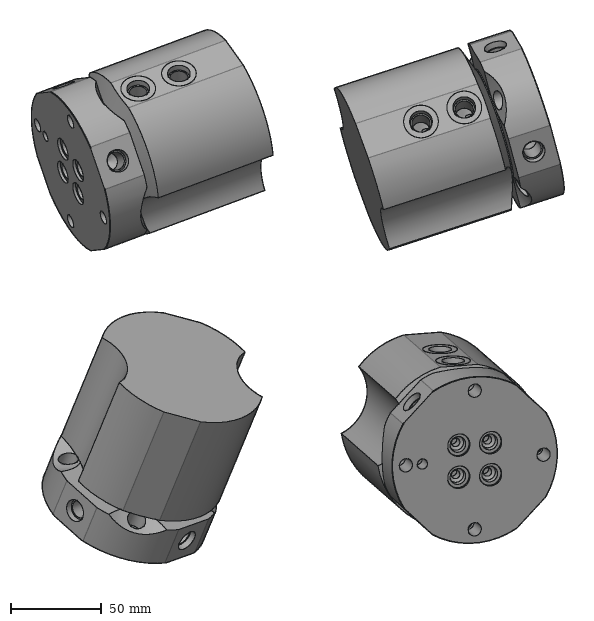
import cadquery as cq
import math

total_length = 101.8
flange_thickness = 24.5
neck_length = 0.7
shoulder_length = 5.3
flange_radius = 47.6
flange_flat_distance = 46.0
flange_edge_chamfer = 0.3
body_radius = 47.2
body_flat_distance = 46.0
neck_radius = 33.0
shoulder_start = flange_thickness + neck_length
body_start = shoulder_start + shoulder_length

groove_radius = 24.8
groove_axis_distance = 58.6
groove_tilt = -15.0

screw_circle_radius = 39.6
screw_hole_diameter = 7.5
counterbore_diameter = 10.5
counterbore_floor = 14.3

relief_radius = 37.2
relief_slope = math.degrees(math.atan2(shoulder_length, body_radius - neck_radius))

port_entry_diameter = 12.5
port_ledge_diameter = 11.7
port_entry_depth = 3.5
port_drill_diameter = 10.0
port_depth = 15.3
drill_point_angle = 118.0
flange_port_distance = 12.6
body_port_distances = (42.0, 67.3)
spotface_diameter = 19.1
spotface_depth = 0.1
branch_diameter = 1.8
branch_rise = 0.4
branch_length = 8.1

face_port_offset = 9.2
seal_recess_diameter = 12.7
seal_recess_depth = 1.7
face_port_mouth_diameter = 9.0
face_port_mouth_depth = 3.4
face_port_diameter = 8.3
face_port_depth = seal_recess_depth + face_port_mouth_depth
face_passage_diameter = 4.8
face_passage_depth = 12.2

pin_hole_diameter = 5.8
pin_hole_depth = 10.2
pin_hole_x = -30.1

Y_AXIS = cq.Vector(0, 1, 0)
ORIGIN = cq.Vector(0, 0, 0)


def around_axis(shape, angle):
    """Turn a shape about the Y axis; a positive angle leads from +X toward +Z."""
    return shape.rotate(ORIGIN, Y_AXIS, -angle)


def disc(radius, start, end, x=0.0, z=0.0):
    """Cylinder parallel to Y, between two Y positions."""
    return cq.Solid.makeCylinder(radius, end - start, cq.Vector(x, start, z), Y_AXIS)


def side_cut(distance, start, end):
    """Block that leaves a flat facing +X at the given distance from the axis."""
    width = 2 * flange_radius
    corner = cq.Vector(distance, start, -width / 2)
    return cq.Solid.makeBox(width, end - start, width, corner)


def drill_tip_length(diameter):
    return diameter / 2 / math.tan(math.radians(drill_point_angle / 2))


def drill(diameter, depth, start, direction):
    """Blind hole with a conical point; depth is that of the full diameter."""
    radius = diameter / 2
    tip_length = drill_tip_length(diameter)
    barrel = cq.Solid.makeCylinder(radius, depth, start, direction)
    tip = cq.Solid.makeCone(radius, 0, tip_length, start + direction * depth, direction)
    return barrel.fuse(tip)


def side_port(surface_distance, y):
    """Port with a tapered entry, drilled inward from a flat that faces +X."""
    start = cq.Vector(surface_distance, y, 0)
    inward = cq.Vector(-1, 0, 0)
    entry = cq.Solid.makeCone(
        port_entry_diameter / 2, port_ledge_diameter / 2, port_entry_depth, start, inward
    )
    return entry.fuse(drill(port_drill_diameter, port_depth, start, inward))


def spotface(surface_distance, y):
    """Shallow seal seat around a port on a flat that faces +X."""
    start = cq.Vector(surface_distance, y, 0)
    return cq.Solid.makeCylinder(spotface_diameter / 2, spotface_depth, start, cq.Vector(-1, 0, 0))


def branch(surface_distance, y):
    """Small passage toward -Y from the drill point of a side port facing +X."""
    port_bottom = surface_distance - port_depth - drill_tip_length(port_drill_diameter)
    radius = branch_diameter / 2
    return disc(radius, y - branch_length, y, x=port_bottom + branch_rise + radius)


def make_flange():
    flange = cq.Workplane(obj=disc(flange_radius, 0, flange_thickness))
    flange = flange.faces("<Y").chamfer(flange_edge_chamfer)
    for angle in (45, 135, 225, 315):
        flange = flange.cut(around_axis(side_cut(flange_flat_distance, 0, flange_thickness), angle))
        flange = flange.cut(around_axis(side_port(flange_flat_distance, flange_port_distance), angle))
    return flange


def screw_relief():
    """Slanted cylinder whose lowest line slopes from the neck to the rim on the +X side."""
    length = 2 * flange_radius
    slope = math.radians(relief_slope)
    along = cq.Vector(math.cos(slope), -math.sin(slope), 0)
    upward = cq.Vector(math.sin(slope), math.cos(slope), 0)
    start = cq.Vector(neck_radius, flange_thickness, 0) + upward * relief_radius
    relief = cq.Solid.makeCylinder(relief_radius, length, start - along * (length / 2), along)
    below_body = disc(2 * flange_radius, 0, flange_thickness)
    return relief.intersect(below_body)


def make_body():
    body = cq.Workplane(obj=disc(body_radius, body_start, total_length))
    shoulder = cq.Solid.makeCone(
        neck_radius, body_radius, shoulder_length, cq.Vector(0, shoulder_start, 0), Y_AXIS
    )
    body = body.union(cq.Workplane(obj=shoulder))
    for angle in (90, 270):
        body = body.cut(around_axis(side_cut(body_flat_distance, shoulder_start, total_length), angle))
    for angle in (groove_tilt, groove_tilt + 180):
        groove = disc(groove_radius, shoulder_start, total_length, x=groove_axis_distance)
        body = body.cut(around_axis(groove, angle))
    for y in body_port_distances:
        for make_tool in (spotface, side_port, branch):
            body = body.cut(around_axis(make_tool(body_flat_distance, y), 90))
    return body


def cut_screw_holes(flange):
    for angle in (0, 90, 180, 270):
        hole = disc(screw_hole_diameter / 2, 0, flange_thickness, x=screw_circle_radius)
        counterbore = disc(
            counterbore_diameter / 2, counterbore_floor, flange_thickness, x=screw_circle_radius
        )
        for tool in (screw_relief(), hole, counterbore):
            flange = flange.cut(around_axis(tool, angle))
    return flange


def cut_face_ports(flange):
    for x in (-face_port_offset, face_port_offset):
        for z in (-face_port_offset, face_port_offset):
            recess = disc(seal_recess_diameter / 2, 0, seal_recess_depth, x, z)
            mouth = cq.Solid.makeCone(
                face_port_mouth_diameter / 2,
                face_port_diameter / 2,
                face_port_mouth_depth,
                cq.Vector(x, seal_recess_depth, z),
                Y_AXIS,
            )
            port = drill(face_port_diameter, face_port_depth, cq.Vector(x, 0, z), Y_AXIS)
            passage = disc(face_passage_diameter / 2, 0, face_passage_depth, x, z)
            for tool in (recess, mouth, port, passage):
                flange = flange.cut(tool)
    return flange


flange = cut_face_ports(cut_screw_holes(make_flange()))
flange = flange.cut(disc(pin_hole_diameter / 2, 0, pin_hole_depth, x=pin_hole_x))
neck = cq.Workplane(obj=disc(neck_radius, flange_thickness, shoulder_start))
result = flange.union(neck).union(make_body())